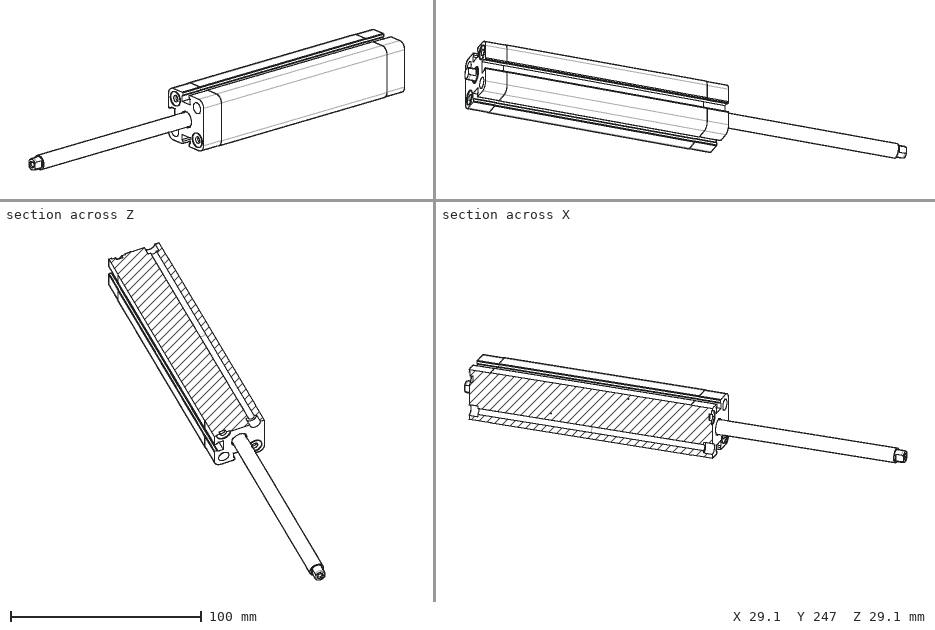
import cadquery as cq

total_length = 247.0
body_width = 29.1
corner_radius = 4.0
rod_travel = 100.0
tip_length = 5.0
cap_length = 12.0
cap_step = 0.12

slot_mouth = 5.2
slot_width = 6.7
slot_depth = 5.2
slot_lip = 1.5
slot_bevel_width = 0.62
slot_bevel_depth = 0.2
slot_flare = 0.7

hole_pitch = 18.0
through_diameter = 3.2
counterbore_diameter = 6.0
counterbore_depth = 5.0
screw_recess_diameter = 8.0
screw_recess_depth = 0.5
screw_socket_diameter = 3.5
screw_socket_depth = 2.0

rod_diameter = 8.0
rod_seal_diameter = 9.0
rod_seal_depth = 1.0
stud_diameter = 6.5
stud_flats = 5.2
stud_collar = 0.7
stud_chamfer_length = 1.0
stud_chamfer_depth = 0.2
rod_hole_diameter = 2.5
rod_countersink_diameter = 3.5
rod_hole_depth = 10.0

body_length = total_length - rod_travel - 2 * tip_length
half_pitch = hole_pitch / 2
front_shoulder = -rod_travel


def plane_at(y):
    """XZ plane at the given Y whose normal points towards +Y and whose local Y is -Z."""
    return cq.Workplane(cq.Plane(origin=(0, y, 0), xDir=(1, 0, 0), normal=(0, 1, 0)))


def cylinder(diameter, y, length, points=((0, 0),)):
    """Cylinders along +Y from y, at (x, z) points."""
    local = [(x, -z) for x, z in points]
    return plane_at(y).pushPoints(local).circle(diameter / 2).extrude(length)


def t_slot(face, y, length, angle):
    """T-slot cutter for a flat side at distance face from the axis, turned by angle about Y."""
    floor = face - slot_depth
    lip_end = face - slot_lip
    right_side = [
        (slot_mouth / 2 + slot_bevel_width, face),
        (slot_mouth / 2, face - slot_bevel_depth),
        (slot_mouth / 2, lip_end),
        (slot_width / 2, lip_end - slot_flare),
        (slot_width / 2, floor),
    ]
    left_side = [(-x, z) for x, z in reversed(right_side)]
    outline = [(x, -z) for x, z in right_side + left_side]
    cutter = plane_at(y).polyline(outline).close().extrude(length)
    return cutter.rotate((0, 0, 0), (0, 1, 0), angle)


def slotted_bar(width, y, length):
    """Rounded square bar with a T-slot in its top, bottom and -X faces."""
    bar = plane_at(y).rect(width, width).extrude(length).edges("|Y").fillet(corner_radius)
    for slot_angle in (0, 180, -90):
        bar = bar.cut(t_slot(width / 2, y, length, slot_angle))
    return bar


def at_rear(front_feature):
    """Mirror a feature of the front half to the rear half."""
    return front_feature.mirror("XZ", (0, body_length / 2, 0))


def cap_recesses():
    """Everything sunk into the front face."""
    open_corners = [(half_pitch, half_pitch), (-half_pitch, -half_pitch)]
    screw_corners = [(-half_pitch, half_pitch), (half_pitch, -half_pitch)]
    recesses = cylinder(rod_seal_diameter, 0, rod_seal_depth)
    recesses = recesses.union(cylinder(counterbore_diameter, 0, counterbore_depth, open_corners))
    recesses = recesses.union(cylinder(through_diameter, 0, body_length / 2, open_corners))
    recesses = recesses.union(cylinder(screw_recess_diameter, 0, screw_recess_depth, screw_corners))
    return recesses.union(cylinder(screw_socket_diameter, 0, screw_socket_depth, screw_corners))


def rod_tip():
    """Stud with two flats, its shoulder at Y = 0 and its end towards -Y."""
    stud_radius = stud_diameter / 2
    profile = [
        (0, 0),
        (stud_radius, 0),
        (stud_radius, stud_chamfer_length - tip_length),
        (stud_radius - stud_chamfer_depth, -tip_length),
        (0, -tip_length),
    ]
    turned = cq.Workplane("XY").polyline(profile).close().revolve(360, (0, 0, 0), (0, 1, 0))
    flats = plane_at(-tip_length).rect(stud_flats, stud_diameter).extrude(tip_length)
    collar = cylinder(stud_diameter, -stud_collar, stud_collar)
    return turned.intersect(flats).union(collar)


def rod_hole():
    """Blind countersunk hole in the front end of the rod."""
    radius = rod_hole_diameter / 2
    rim_radius = rod_countersink_diameter / 2
    start = front_shoulder - tip_length
    profile = [
        (0, start),
        (rim_radius, start),
        (radius, start + rim_radius - radius),
        (radius, start + rod_hole_depth),
        (0, start + rod_hole_depth),
    ]
    return cq.Workplane("XY").polyline(profile).close().revolve(360, (0, 0, 0), (0, 1, 0))


front_cap = slotted_bar(body_width - 2 * cap_step, 0, cap_length)
tube = slotted_bar(body_width, cap_length, body_length - 2 * cap_length)
body = tube.union(front_cap).union(at_rear(front_cap))
body = body.cut(cap_recesses()).cut(at_rear(cap_recesses()))

rod = cylinder(rod_diameter, front_shoulder, rod_travel + body_length)
rod = rod.union(rod_tip().translate((0, front_shoulder, 0)))
rod = rod.union(at_rear(rod_tip()))
rod = rod.cut(rod_hole())

result = body.union(rod)